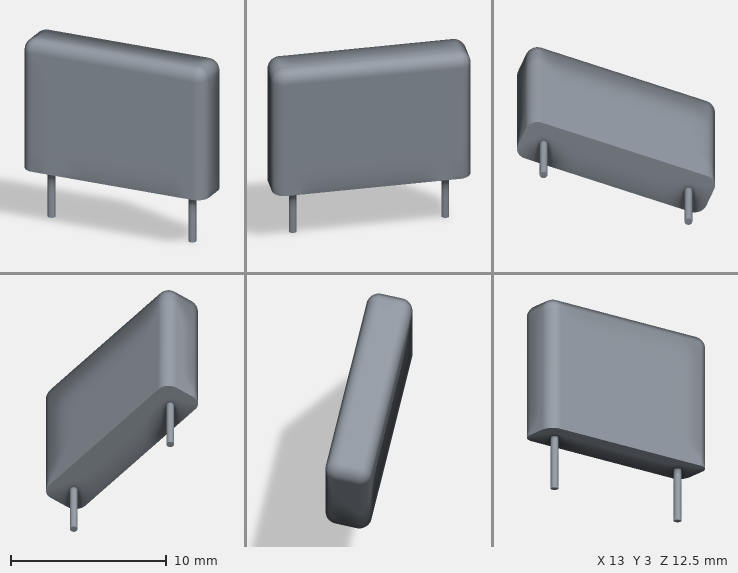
import cadquery as cq

housing_length = 13.0
housing_width = 3.0
housing_height = 9.0
edge_radius = 0.8

lead_diameter = 0.5
lead_length = 3.51
lead_spacing = 10.0


def make_housing():
    """Box with equal rounding on its vertical edges and around its top."""
    box = cq.Workplane("XY").box(
        housing_length, housing_width, housing_height, centered=(True, True, False)
    )
    return box.edges("|Z or >Z").fillet(edge_radius)


def make_lead(x_position):
    """Straight round lead hanging from the bottom face of the housing."""
    return (
        cq.Workplane("XY")
        .center(x_position, 0)
        .circle(lead_diameter / 2)
        .extrude(-lead_length)
    )


housing = make_housing()
leads = [make_lead(side * lead_spacing / 2) for side in (-1, 1)]

result = cq.Compound.makeCompound([housing.val(), *[lead.val() for lead in leads]])